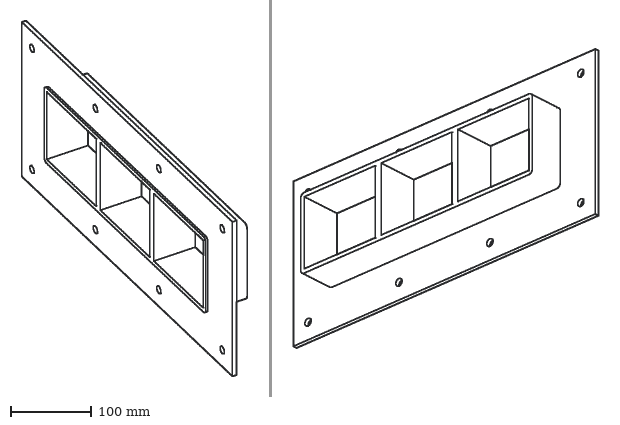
import cadquery as cq

plate_width = 513.5
plate_height = 233.0
plate_thickness = 6.0

sleeve_width = 394.0
sleeve_height = 114.0
sleeve_depth = 60.0
sleeve_corner_radius = 6.0
front_lip = 3.0

window_count = 3
wall_thickness = 6.0
divider_thickness = 10.5
inner_width = sleeve_width - 2 * wall_thickness
window_width = (inner_width - (window_count - 1) * divider_thickness) / window_count
window_height = sleeve_height - 2 * wall_thickness
window_pitch = window_width + divider_thickness

hole_diameter = 10.5
hole_columns = 4
hole_pitch = 154.5
hole_row_spacing = 183.0


def box_from_front(width, height, front_y, depth):
    """Block centred in X and Z, running from front_y toward +Y."""
    return cq.Workplane("XY").box(width, depth, height).translate((0, front_y + depth / 2, 0))


plate = box_from_front(plate_width, plate_height, 0, plate_thickness)
mounting_holes = (
    cq.Workplane("XZ")
    .rarray(hole_pitch, hole_row_spacing, hole_columns, 2)
    .circle(hole_diameter / 2)
    .extrude(-plate_thickness)
)

sleeve = box_from_front(sleeve_width, sleeve_height, -front_lip, sleeve_depth)
sleeve = sleeve.edges("|Y").fillet(sleeve_corner_radius)

result = plate.cut(mounting_holes).union(sleeve)

window = box_from_front(window_width, window_height, -front_lip, sleeve_depth)
for index in range(window_count):
    offset = (index - (window_count - 1) / 2) * window_pitch
    result = result.cut(window.translate((offset, 0, 0)))